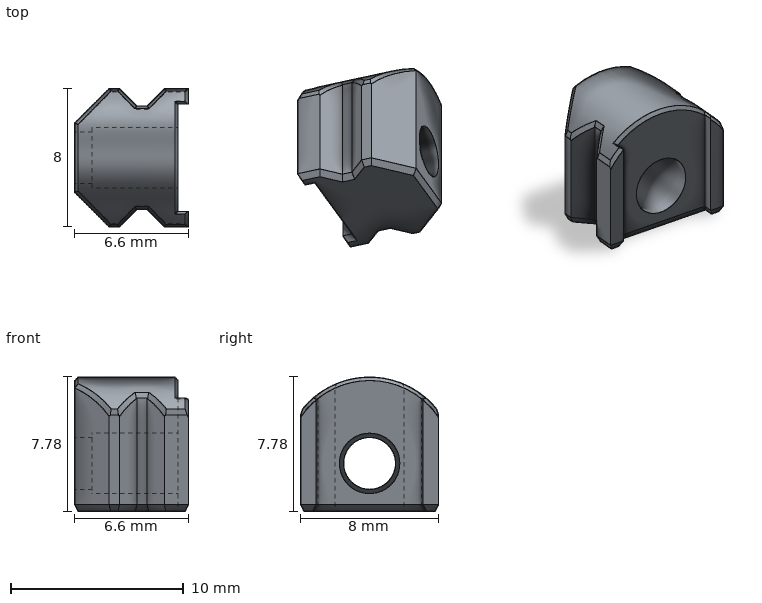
import cadquery as cq

length = 6.6
half_width = 4.0
crown_radius = 5.0
axis_height = 2.78
height = axis_height + crown_radius

nose_half_width = 2.0
nose_length = half_width - nose_half_width
groove_start = 2.6
groove_depth = 1.0
groove_floor = 0.6
back_recess_depth = 0.6
back_recess_half_width = 3.1

crown_chamfer = 0.2
base_chamfer_inset = 0.2
base_chamfer_height = 0.4

bore_diameter = 3.0
counterbore_diameter = 3.5
bore_lip = 1.0


def half_outline():
    """Plan points of the +Y side, from the nose to the back recess."""
    floor_start = groove_start + groove_depth
    floor_end = floor_start + groove_floor
    groove_end = floor_end + groove_depth
    groove_y = half_width - groove_depth
    recess_x = length - back_recess_depth
    return [
        (0, nose_half_width),
        (nose_length, half_width),
        (groove_start, half_width),
        (floor_start, groove_y),
        (floor_end, groove_y),
        (groove_end, half_width),
        (length, half_width),
        (length, back_recess_half_width),
        (recess_x, back_recess_half_width),
    ]


def plan_profile(level):
    """Closed plan outline with nose, side grooves and back recess."""
    side = half_outline()
    mirrored_side = [(x, -y) for x, y in reversed(side)]
    return cq.Workplane("XY", origin=(0, 0, level)).polyline(side + mirrored_side).close()


def make_base():
    """Tapered base whose mitred side walls lean inward toward the bottom."""
    rim = plan_profile(base_chamfer_height).wire().val()
    foot = plan_profile(0).offset2D(-base_chamfer_inset, "intersection").wires().val()
    return cq.Workplane(cq.Solid.makeLoft([foot, rim], True))


def make_prism():
    """Upright prism standing on the tapered base."""
    upper = plan_profile(base_chamfer_height).extrude(height - base_chamfer_height)
    return upper.union(make_base())


def axis_cylinder(diameter, start, end):
    """Cylinder on the common X axis between two X positions."""
    plane = cq.Workplane("YZ", origin=(start, 0, axis_height))
    return plane.circle(diameter / 2).extrude(end - start)


def make_crown_envelope():
    """Round crown over a rectangular lower part.

    The crown cylinder reaches below Z = 0, where the prism bounds the part.
    """
    lower = cq.Workplane("XY").box(
        length, 2 * crown_radius, axis_height, centered=(False, True, False)
    )
    return lower.union(axis_cylinder(2 * crown_radius, 0, length))


def chamfer_crown(body):
    """Chamfer the whole rim of the crown."""
    return body.faces("%CYLINDER").edges().chamfer(crown_chamfer)


def cut_bore(body):
    """Through bore, entering at the nose and widened from the lip to the back."""
    body = body.cut(axis_cylinder(bore_diameter, 0, length))
    return body.cut(axis_cylinder(counterbore_diameter, bore_lip, length))


shaped_block = make_prism().intersect(make_crown_envelope())
result = cut_bore(chamfer_crown(shaped_block)).solids()